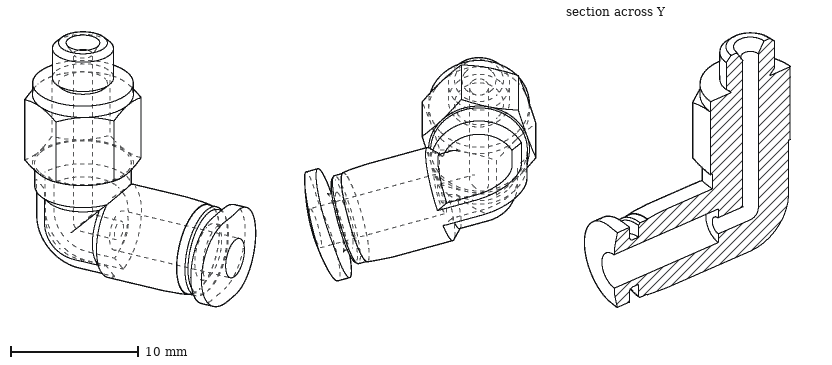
import cadquery as cq
import math


body_radius = 7.6 / 2
waist_radius = 3.04
waist_end = 2.43
body_start = waist_end + body_radius - waist_radius
rib_thickness = 1.45

total_height = 19.6
top_z = total_height - body_radius
hex_width = 7.94
hex_bottom = 5.21
hex_height = 6.02
hex_bevel_angle = 30.0
collar_radius = hex_width / 2
collar_height = 1.0
thread_radius = 4.82 / 2
thread_chamfer = 0.49
hex_top = hex_bottom + hex_height
collar_top = hex_top + collar_height

total_length = 17.46
end_x = total_length - hex_width / 2
taper_start = 8.21
taper_end = 10.21
taper_end_radius = 3.65
nose_radius = 7.2 / 2
nose_end = 11.11
nose_chamfer = 0.18
neck_radius = 4.57 / 2
neck_fillet = 0.35

button_start = 11.98
button_width = 7.2
button_length = 9.2
button_face_radius = 2.12
button_bevel_depth = 0.57
button_bulge = 0.04

bore_radius = 1.5 / 2
countersink_radius = 2.65 / 2
countersink_depth = 0.98
tube_radius = 3.18 / 2


def cylinder_z(radius, start, end):
    return cq.Workplane("XY").workplane(offset=start).circle(radius).extrude(end - start)


def cylinder_x(radius, start, end):
    return cq.Workplane("YZ").workplane(offset=start).circle(radius).extrude(end - start)


def revolve_z(points):
    """Revolve a closed outline of (radius, z) points about Z."""
    return cq.Workplane("XZ").polyline(points).close().revolve(360, (0, 0), (0, 1))


def make_rib():
    """Flat web around the outside of the bend, flush with the full body radius."""
    full_bend = (
        cq.Workplane("XY").sphere(body_radius)
        .union(cylinder_z(body_radius, 0, body_start))
        .union(cylinder_x(body_radius, 0, body_start))
    )
    slab_size = 2 * total_height
    slab = cq.Workplane("XY").box(slab_size, rib_thickness, slab_size)
    inner_corner = cq.Workplane("XY").box(slab_size, slab_size, slab_size, centered=(False, True, False))
    return full_bend.intersect(slab.cut(inner_corner))


def make_hex():
    """Hexagon with corners on Y, its corners bevelled at both ends."""
    corner_radius = hex_width / math.sqrt(3)
    flat_radius = hex_width / 2
    bevel = (corner_radius - flat_radius) * math.tan(math.radians(hex_bevel_angle))
    prism = (
        cq.Workplane("XY").workplane(offset=hex_bottom)
        .polygon(6, 2 * corner_radius).extrude(hex_height)
        .rotate((0, 0, 0), (0, 0, 1), 30)
    )
    envelope = revolve_z([
        (0, hex_bottom),
        (flat_radius, hex_bottom),
        (corner_radius, hex_bottom + bevel),
        (corner_radius, hex_top - bevel),
        (flat_radius, hex_top),
        (0, hex_top),
    ])
    return prism.intersect(envelope)


def make_threaded_leg():
    lower = revolve_z([
        (0, 0),
        (waist_radius, 0),
        (waist_radius, waist_end),
        (body_radius, body_start),
        (body_radius, hex_bottom),
        (0, hex_bottom),
    ])
    collar = cylinder_z(collar_radius, hex_top, collar_top)
    thread = cylinder_z(thread_radius, collar_top, top_z).edges().chamfer(thread_chamfer)
    return lower.union(make_hex()).union(collar).union(thread)


def make_tube_leg():
    """Waist, sleeve with a rounded taper, nose and neck, revolved about X."""
    profile = (
        cq.Workplane("XZ")
        .lineTo(0, waist_radius)
        .lineTo(waist_end, waist_radius)
        .lineTo(body_start, body_radius)
        .lineTo(taper_start, body_radius)
        .tangentArcPoint((taper_end, taper_end_radius), relative=False)
        .lineTo(taper_end, nose_radius)
        .lineTo(nose_end - nose_chamfer, nose_radius)
        .lineTo(nose_end, nose_radius - nose_chamfer)
        .lineTo(nose_end, neck_radius)
        .lineTo(button_start - neck_fillet, neck_radius)
        .tangentArcPoint((button_start, neck_radius + neck_fillet), relative=False)
        .lineTo(button_start, 0)
        .close()
    )
    return profile.revolve(360, (0, 0), (1, 0))


def make_button():
    """Oblong plate with a slightly domed bevel on its outer face."""
    rim_radius = button_length / 2
    plate = (
        cq.Workplane("YZ").workplane(offset=button_start)
        .slot2D(button_length, button_width).extrude(end_x - button_start)
    )
    envelope = (
        cq.Workplane("XZ")
        .moveTo(button_start, 0)
        .lineTo(button_start, rim_radius)
        .lineTo(end_x - button_bevel_depth, rim_radius)
        .threePointArc(
            (end_x - button_bevel_depth / 2 + button_bulge, (rim_radius + button_face_radius) / 2),
            (end_x, button_face_radius),
        )
        .lineTo(end_x, 0)
        .close().revolve(360, (0, 0), (1, 0))
    )
    return plate.intersect(envelope)


def make_passages():
    """Narrow bore around the bend, countersunk at the top, and the wider tube socket."""
    countersink_bottom = top_z - countersink_depth
    countersink = revolve_z([
        (0, countersink_bottom),
        (bore_radius, countersink_bottom),
        (countersink_radius, top_z),
        (0, top_z),
    ])
    return (
        cq.Workplane("XY").sphere(bore_radius)
        .union(cylinder_z(bore_radius, 0, top_z))
        .union(cylinder_x(bore_radius, 0, body_start))
        .union(cylinder_x(tube_radius, body_start, end_x))
        .union(countersink)
    )


result = (
    cq.Workplane("XY").sphere(waist_radius)
    .union(make_threaded_leg())
    .union(make_tube_leg())
    .union(make_rib())
    .union(make_button())
    .cut(make_passages())
)